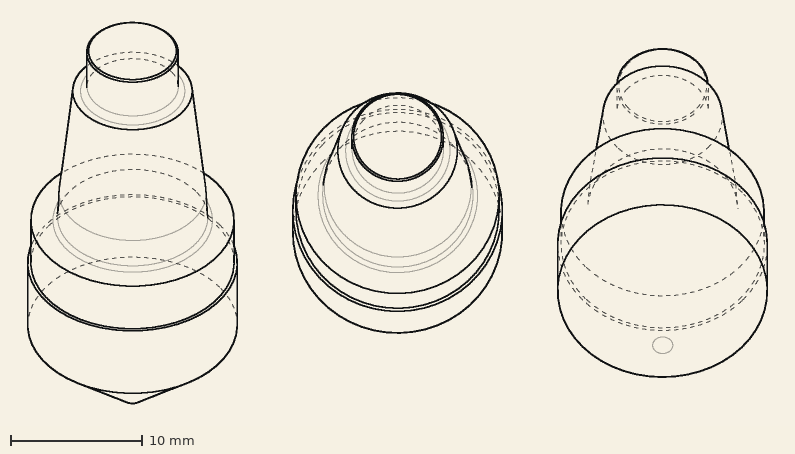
import cadquery as cq
import math

total_height = 35.1
shoulder_height = 31.1
taper_bottom = 20.9
flange_top = 18.1
joint_height = 13.83

pilot_radius = 7.0 / 2
shoulder_radius = 4.55
taper_bottom_radius = 5.6
neck_base_radius = 5.75
flange_radius = 15.5 / 2
head_radius = 16.0 / 2

pilot_chamfer = 0.15
pilot_root_fillet = 0.5
neck_root_fillet = 0.35

nose_radius = 1.1
half_angle = math.radians(45)


def circle_edge(radius, height):
    """Selector box around the circular edge of this radius, centred on the axis at this height."""
    margin = 0.05
    reach = radius + margin
    return cq.selectors.BoxSelector(
        (-reach, -reach, height - margin), (reach, reach, height + margin), boundingbox=True
    )


def make_shank():
    """Flange, neck, tapered shank and pilot pin."""
    profile = (
        cq.Workplane("XZ")
        .moveTo(0, joint_height)
        .lineTo(flange_radius, joint_height)
        .lineTo(flange_radius, flange_top)
        .lineTo(neck_base_radius, flange_top)
        .lineTo(taper_bottom_radius, taper_bottom)
        .lineTo(shoulder_radius, shoulder_height)
        .lineTo(pilot_radius, shoulder_height)
        .lineTo(pilot_radius, total_height)
        .lineTo(0, total_height)
        .close()
    )
    body = profile.revolve(360, (0, 0), (0, 1))
    body = body.edges(circle_edge(neck_base_radius, flange_top)).fillet(neck_root_fillet)
    body = body.edges(circle_edge(pilot_radius, shoulder_height)).fillet(pilot_root_fillet)
    return body.faces(">Z").edges().chamfer(pilot_chamfer)


def make_point():
    """Cylindrical head with a cone below it, ending in a round nose."""
    tangent_radius = nose_radius * math.cos(half_angle)
    tangent_height = nose_radius * (1 - math.sin(half_angle))
    cone_top = tangent_height + (head_radius - tangent_radius) / math.tan(half_angle)
    arc_angle = (math.pi / 2 - half_angle) / 2
    arc_middle = (nose_radius * math.sin(arc_angle), nose_radius * (1 - math.cos(arc_angle)))
    profile = (
        cq.Workplane("XZ")
        .moveTo(0, 0)
        .threePointArc(arc_middle, (tangent_radius, tangent_height))
        .lineTo(head_radius, cone_top)
        .lineTo(head_radius, joint_height)
        .lineTo(0, joint_height)
        .close()
    )
    return profile.revolve(360, (0, 0), (0, 1))


shank = make_shank()
point = make_point()

result = cq.Compound.makeCompound([shank.val(), point.val()])